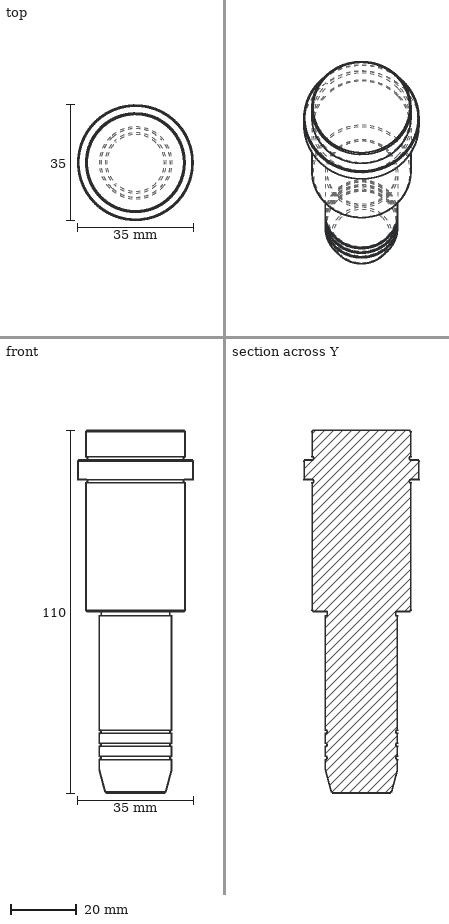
import cadquery as cq
import math

total_length = 110.0
collar_top = 101.0
collar_bottom = 95.0
body_bottom = 55.0
taper_top = 7.0

collar_radius = 17.5
body_radius = 15.1
pin_radius = 11.0

groove_radius = 0.5
ring_count = 3
ring_pitch = 4.0
lowest_ring_height = 10.7

relief_width = 1.2
relief_depth = 0.5

edge_chamfer = 0.4
collar_chamfer = 0.3
taper_angle = 15.0


def cylinder(radius, bottom, top):
    """Cylinder about Z between two heights."""
    return cq.Workplane("XY").workplane(offset=bottom).circle(radius).extrude(top - bottom)


def cut_round_groove(shaft, shaft_radius, height):
    """Cut a semicircular groove centred on the shaft surface at a height."""
    ring = cq.Solid.makeTorus(shaft_radius, groove_radius, cq.Vector(0, 0, height))
    return shaft.cut(cq.Workplane(ring))


def make_body():
    """Chamfered guide body, grooved on both sides of the collar."""
    body = cylinder(body_radius, body_bottom, total_length).faces("<Z or >Z").chamfer(edge_chamfer)
    for height in (collar_top + groove_radius, collar_bottom - groove_radius):
        body = cut_round_groove(body, body_radius, height)
    return body


def make_collar():
    """Stop collar with a broken upper edge."""
    return cylinder(collar_radius, collar_bottom, collar_top).faces(">Z").chamfer(collar_chamfer)


def make_pin():
    """Slim pin with a tapered tip, a relief under the body and ring grooves."""
    tip_radius = pin_radius - taper_top * math.tan(math.radians(taper_angle))
    tip = (
        cq.Workplane("XY")
        .circle(tip_radius)
        .workplane(offset=taper_top)
        .circle(pin_radius)
        .loft(ruled=True)
        .faces("<Z")
        .chamfer(edge_chamfer)
    )
    relief_bottom = body_bottom - relief_width
    neck = cylinder(pin_radius - relief_depth, relief_bottom, body_bottom)
    pin = cylinder(pin_radius, taper_top, relief_bottom).union(tip).union(neck)
    for index in range(ring_count):
        pin = cut_round_groove(pin, pin_radius, lowest_ring_height + index * ring_pitch)
    return pin


result = make_body().union(make_collar()).union(make_pin())